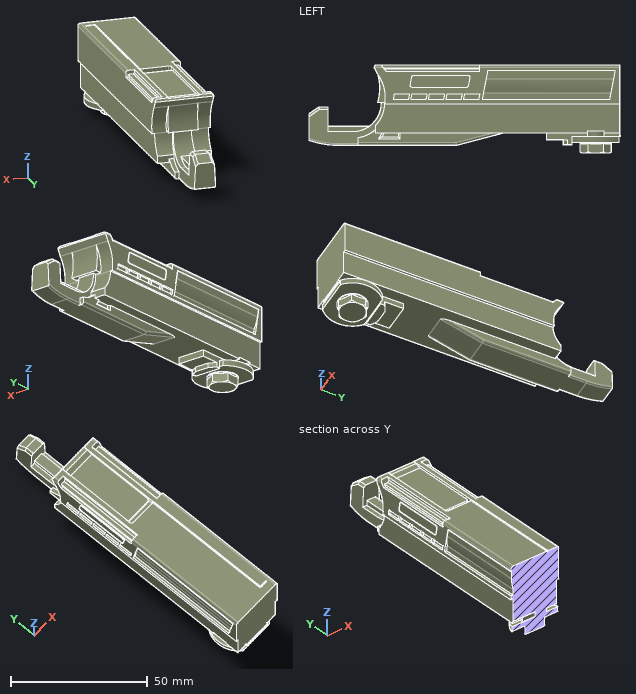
import cadquery as cq
import math

WIDTH = 22.7
LENGTH = 114.5
HEIGHT = 32.5
HALF_WIDTH = WIDTH / 2

BODY_START = 0.25
BODY_BOTTOM = 7.4
BODY_NOSE = 90.0
WAIST_Z = 18.0
LOWER_LEFT = -10.55
LOWER_RIGHT = 10.3
TOP_ROUND = 1.0
HORN_TOP_Y = 90.1
HORN_TIP = (90.6, 31.5)
HORN_ROOT = (89.2, 28.9)
HORN_MIDDLE = (87.1, 24.7)

SEAT_Y = 98.5
SEAT_Z = 18.4
HOOK_SEAT_RADIUS = 10.5
BODY_SEAT_RADIUS = 11.8
KEEL_SEAT_RADIUS = 12.9

HOOK_HALF_WIDTH = 4.25
HOOK_TIP_HALF_WIDTH = 3.5
HOOK_BOTTOM = 2.85
HOOK_FLOOR = SEAT_Z - HOOK_SEAT_RADIUS
HOOK_HEEL_Z = 4.7
HOOK_SOLE_END = 103.8
HOOK_TOP = 17.0
HOOK_SHOULDER_Z = 14.5
HOOK_SHOULDER_Y = 110.9
HOOK_INNER_Y = 107.4
HOOK_ROOT_Y = 80.0
HOOK_SHELF_Z = 18.6
HOOK_EDGE_CHAMFER = 0.9
HOOK_SOLE_ROUND = 0.6
RIB_HALF_WIDTH = 2.0
RIB_TOP = 10.0

KEEL_HALF_WIDTH = 5.75
KEEL_FRONT = 96.5
KEEL_FLAT_END = 60.3
KEEL_END = 43.0
KEEL_ROUND = 1.0
NOTCH_FRONT = 88.9
NOTCH_BACK = 81.0
NOTCH_BOTTOM = 5.3
NOTCH_TOP = 8.2
NOTCH_LEAN = 1.75
NOTCH_WALL_ANGLE = 40
NOTCH_DEPTH = 0.8

INSERT_HALF_WIDTH = 5.75
INSERT_TOP = 32.3
INSERT_NOSE = 89.9
INSERT_BOTTOM_Y = 89.3
INSERT_MIDDLE = (88.6, 25.5)

RECESS_HALF_WIDTH = 6.0
RECESS_START = 56.2
PAD_START = 58.2
PAD_TOP = 31.5
GAP_FLOOR = 30.7
RECESS_CORNER = 0.8
LIP_BACK = 88.6
LIP_SLOPE_END = 86.4

RAIL_WIDTH = 3.4
RAIL_WALL_FOOT = 31.35
RAIL_FLOOR = 30.95
RAIL_LEDGE = 30.05
RAIL_LEDGE_WIDTH = 0.9
LEFT_RAMP_WIDTH = 0.9
RIGHT_RAMP_WIDTH = 0.5
RAIL_FRONT = 88.05
RAIL_SLOPE_RUN = 1.9
LEFT_RAIL_START = 51.8
RIGHT_RAIL_START = 56.2

GROOVE_X = 5.75
GROOVE_WIDTH = 0.35
GROOVE_DEPTH = 0.4
GROOVE_START = 3.6
GROOVE_END_X = 9.2

SLANT = 0.19
DASH_COUNT = 5
DASH_PITCH = 6.45
DASH_LENGTH = 5.6
DASH_BOTTOM = 19.75
DASH_TOP = 21.8
FIRST_DASH_START = 52.1
DASH_DEPTH = 0.8
PANEL_START = 4.0
PANEL_LENGTH = 46.8
PANEL_TOP = 30.4
PANEL_BEND_TOP = 27.2
PANEL_BEND_MIDDLE = 24.9
PANEL_BEND_BOTTOM = 22.2
PANEL_SHALLOW = 0.2
PANEL_BEND_DEPTH = 0.35
PANEL_DEEP = 1.0
PLATE_START = 56.0
PLATE_LENGTH = 21.5
PLATE_BOTTOM = 24.2
PLATE_TOP = 28.6
PLATE_ROUND = 0.8
PLATE_DEPTH = 0.2

TONGUE_HALF_WIDTH = 5.75
TONGUE_END = 27.3
TONGUE_BOTTOM = 4.9
LATCH_START = 17.8
LATCH_END = 21.1
LATCH_BOTTOM = 3.1
LATCH_CORNER_RUN = 1.6
LATCH_CORNER_WIDTH = LATCH_CORNER_RUN * math.tan(math.pi / 3)
WASHER_RADIUS = HALF_WIDTH
WASHER_BOTTOM = 3.85
WASHER_TOP = 6.15
TONGUE_LIP_TOP = 6.45
WASHER_START = 0.5
WASHER_END = LATCH_START
SCREW_Y = (WASHER_START + WASHER_END) / 2
SHANK_DIAMETER = 6.0
SHANK_TOP = 8.1
HEX_SIDES = 6
HEX_FLATS = 10.0
HEX_CORNERS = HEX_FLATS / math.cos(math.pi / HEX_SIDES)
COLLAR_THICKNESS = 0.25
COLLAR_CONE_HEIGHT = 0.25
HEAD_BOTTOM_RADIUS = 5.1
HEAD_BEVEL = 0.5


def box(x0, x1, y0, y1, z0, z1):
    return cq.Workplane("XY").box(x1 - x0, y1 - y0, z1 - z0, centered=False).translate((x0, y0, z0))


def side_sketch(x):
    """Plane across X at the given place, with Y and Z as its axes."""
    return cq.Workplane("YZ", origin=(x, 0, 0))


def seat_point(radius, y=None, z=None):
    """Point on the lower nose-side quarter of the seat circle, given its Y or its Z."""
    if z is None:
        z = SEAT_Z - math.sqrt(radius**2 - (SEAT_Y - y) ** 2)
    else:
        y = SEAT_Y - math.sqrt(radius**2 - (SEAT_Z - z) ** 2)
    return (y, z)


def seat_middle(radius, start, end):
    """Point of the seat circle half way between two others."""
    mid_angle = sum(math.atan2(z - SEAT_Z, SEAT_Y - y) for y, z in (start, end)) / 2
    return (SEAT_Y - radius * math.cos(mid_angle), SEAT_Z + radius * math.sin(mid_angle))


def make_body():
    """Body whose nose follows the tube seat, with a horn on top."""
    waist_nose = seat_point(BODY_SEAT_RADIUS, z=WAIST_Z)
    corner = seat_point(BODY_SEAT_RADIUS, y=BODY_NOSE)
    lower = (
        side_sketch(LOWER_LEFT)
        .moveTo(BODY_START, BODY_BOTTOM)
        .lineTo(BODY_NOSE, BODY_BOTTOM)
        .lineTo(*corner)
        .threePointArc(seat_middle(BODY_SEAT_RADIUS, corner, waist_nose), waist_nose)
        .lineTo(BODY_START, WAIST_Z)
        .close()
        .extrude(LOWER_RIGHT - LOWER_LEFT)
    )
    upper = (
        side_sketch(-HALF_WIDTH)
        .moveTo(BODY_START, WAIST_Z)
        .lineTo(*waist_nose)
        .threePointArc(HORN_MIDDLE, HORN_ROOT)
        .lineTo(*HORN_TIP)
        .lineTo(HORN_TOP_Y, HEIGHT)
        .lineTo(BODY_START, HEIGHT)
        .close()
        .extrude(WIDTH)
        .edges("|Y and >Z")
        .fillet(TOP_ROUND)
    )
    return lower.union(upper)


def make_keel():
    """Wedge under the body that carries the hook, notched on its left flank."""
    front_low = seat_point(KEEL_SEAT_RADIUS, y=KEEL_FRONT)
    front_high = seat_point(KEEL_SEAT_RADIUS, y=BODY_NOSE)
    keel = (
        side_sketch(-KEEL_HALF_WIDTH)
        .moveTo(KEEL_FRONT, HOOK_BOTTOM)
        .lineTo(*front_low)
        .threePointArc(seat_middle(KEEL_SEAT_RADIUS, front_low, front_high), front_high)
        .lineTo(KEEL_END, front_high[1])
        .lineTo(KEEL_END, BODY_BOTTOM)
        .lineTo(KEEL_FLAT_END, HOOK_BOTTOM)
        .close()
        .extrude(2 * KEEL_HALF_WIDTH)
    )
    bottom_area = cq.selectors.BoxSelector((-WIDTH, KEEL_END, 0), (WIDTH, BODY_NOSE, BODY_BOTTOM))
    keel = keel.edges("not |X").edges(bottom_area).fillet(KEEL_ROUND)
    notch = (
        side_sketch(-KEEL_HALF_WIDTH)
        .moveTo(NOTCH_BACK, NOTCH_BOTTOM)
        .lineTo(NOTCH_FRONT, NOTCH_BOTTOM)
        .lineTo(NOTCH_FRONT - NOTCH_LEAN, NOTCH_TOP)
        .lineTo(NOTCH_BACK, NOTCH_TOP)
        .close()
        .extrude(NOTCH_DEPTH, taper=NOTCH_WALL_ANGLE)
    )
    return keel.cut(notch)


def hook_draft():
    """Envelope that narrows the hook from its sole towards its tip."""
    slope = (HOOK_HALF_WIDTH - HOOK_TIP_HALF_WIDTH) / (HOOK_TOP - HOOK_BOTTOM)
    shelf_half_width = HOOK_TIP_HALF_WIDTH - slope * (HOOK_SHELF_Z - HOOK_TOP)
    return (
        cq.Workplane("XZ")
        .moveTo(-HOOK_HALF_WIDTH, HOOK_BOTTOM)
        .lineTo(HOOK_HALF_WIDTH, HOOK_BOTTOM)
        .lineTo(shelf_half_width, HOOK_SHELF_Z)
        .lineTo(-shelf_half_width, HOOK_SHELF_Z)
        .close()
        .extrude(-LENGTH)
    )


def make_hook():
    """Hook with a drafted tip and a rib along its floor."""
    sole_run = LENGTH - HOOK_SOLE_END
    sole_rise = HOOK_HEEL_Z - HOOK_BOTTOM
    sole_radius = (sole_run**2 + sole_rise**2) / (2 * sole_rise)
    sole_half_angle = math.asin(sole_run / sole_radius) / 2
    sole_middle = (
        HOOK_SOLE_END + sole_radius * math.sin(sole_half_angle),
        HOOK_BOTTOM + sole_radius * (1 - math.cos(sole_half_angle)),
    )
    floor_end = (SEAT_Y, HOOK_FLOOR)
    shelf = (SEAT_Y - HOOK_SEAT_RADIUS, SEAT_Z)
    hook = (
        side_sketch(-HOOK_HALF_WIDTH)
        .moveTo(HOOK_ROOT_Y, HOOK_BOTTOM)
        .lineTo(HOOK_SOLE_END, HOOK_BOTTOM)
        .threePointArc(sole_middle, (LENGTH, HOOK_HEEL_Z))
        .lineTo(LENGTH, HOOK_SHOULDER_Z)
        .lineTo(HOOK_SHOULDER_Y, HOOK_TOP)
        .lineTo(HOOK_INNER_Y, HOOK_TOP)
        .lineTo(HOOK_INNER_Y, HOOK_FLOOR)
        .lineTo(*floor_end)
        .threePointArc(seat_middle(HOOK_SEAT_RADIUS, floor_end, shelf), shelf)
        .lineTo(shelf[0], HOOK_SHELF_Z)
        .lineTo(HOOK_ROOT_Y, HOOK_SHELF_Z)
        .close()
        .extrude(2 * HOOK_HALF_WIDTH)
    )
    sole_area = cq.selectors.BoxSelector((-WIDTH, HOOK_ROOT_Y, 0), (WIDTH, HOOK_SHOULDER_Y, HOOK_HEEL_Z))
    hook = hook.intersect(hook_draft())
    hook = hook.edges("not |X").edges(sole_area).fillet(HOOK_SOLE_ROUND)
    tip_area = cq.selectors.BoxSelector((-WIDTH, HOOK_INNER_Y, HOOK_SHOULDER_Z), (WIDTH, LENGTH, HEIGHT))
    hook = hook.edges("not |X").edges(tip_area).chamfer(HOOK_EDGE_CHAMFER)
    rib = box(-RIB_HALF_WIDTH, RIB_HALF_WIDTH, BODY_NOSE, HOOK_INNER_Y, HOOK_FLOOR, RIB_TOP)
    return hook.union(rib)


def make_insert():
    """Block between the horns, above the hook shelf."""
    return (
        side_sketch(-INSERT_HALF_WIDTH)
        .moveTo(HOOK_ROOT_Y, HOOK_SHELF_Z)
        .lineTo(INSERT_BOTTOM_Y, HOOK_SHELF_Z)
        .threePointArc(INSERT_MIDDLE, HORN_ROOT)
        .lineTo(INSERT_NOSE, INSERT_TOP)
        .lineTo(HOOK_ROOT_Y, INSERT_TOP)
        .close()
        .extrude(2 * INSERT_HALF_WIDTH)
    )


def top_recess():
    """Recess in the top, ending in a sloped lip at the nose."""
    gap = box(-RECESS_HALF_WIDTH, RECESS_HALF_WIDTH, RECESS_START, LENGTH, GAP_FLOOR, HEIGHT)
    gap = gap.edges("|Z and <Y").fillet(RECESS_CORNER)
    pad = box(-RECESS_HALF_WIDTH, RECESS_HALF_WIDTH, PAD_START, LIP_SLOPE_END, GAP_FLOOR, PAD_TOP)
    pad = pad.edges("|Z and <Y").fillet(RECESS_CORNER)
    lip = (
        side_sketch(-RECESS_HALF_WIDTH)
        .moveTo(LIP_SLOPE_END, GAP_FLOOR)
        .lineTo(LIP_SLOPE_END, PAD_TOP)
        .lineTo(LIP_BACK, INSERT_TOP)
        .lineTo(LENGTH, INSERT_TOP)
        .lineTo(LENGTH, GAP_FLOOR)
        .close()
        .extrude(2 * RECESS_HALF_WIDTH)
    )
    return gap.cut(pad).cut(lip)


def rail_cut(side, start, ramp_width):
    """Stepped rail along one upper edge; side is -1 for the left edge and 1 for the right."""
    inner = HALF_WIDTH - RAIL_WIDTH
    ledge_x = HALF_WIDTH - RAIL_LEDGE_WIDTH
    section = (
        cq.Workplane("XZ", origin=(0, start, 0))
        .moveTo(inner, HEIGHT)
        .lineTo(inner, RAIL_WALL_FOOT)
        .lineTo(inner + ramp_width, RAIL_FLOOR)
        .lineTo(ledge_x, RAIL_FLOOR)
        .lineTo(ledge_x, RAIL_LEDGE)
        .lineTo(HALF_WIDTH, RAIL_LEDGE)
        .lineTo(HALF_WIDTH, HEIGHT)
        .close()
        .extrude(start - RAIL_FRONT)
    )
    sloped_end = (
        side_sketch(inner)
        .moveTo(start, RAIL_LEDGE)
        .lineTo(RAIL_FRONT - RAIL_SLOPE_RUN, RAIL_LEDGE)
        .lineTo(RAIL_FRONT, HEIGHT)
        .lineTo(start, HEIGHT)
        .close()
        .extrude(RAIL_WIDTH)
    )
    cutter = section.intersect(sloped_end)
    return cutter if side > 0 else cutter.mirror("YZ")


def parting_groove():
    """L-shaped groove from the top recess to near the screw end."""
    floor = HEIGHT - GROOVE_DEPTH
    along = box(GROOVE_X, GROOVE_X + GROOVE_WIDTH, GROOVE_START, RECESS_START, floor, HEIGHT)
    across = box(GROOVE_X, GROOVE_END_X, GROOVE_START, GROOVE_START + GROOVE_WIDTH, floor, HEIGHT)
    return along.union(across)


def slanted_pocket(start, length, bottom, top, depth):
    """Leaning block sunk into the left side; start is its lower end nearest the screw."""
    lean = SLANT * (top - bottom)
    return (
        side_sketch(-HALF_WIDTH)
        .moveTo(start, bottom)
        .lineTo(start + length, bottom)
        .lineTo(start + length - lean, top)
        .lineTo(start - lean, top)
        .close()
        .extrude(depth)
    )


def name_panel():
    """Leaning panel whose floor curves deeper towards its lower edge."""
    outline = slanted_pocket(PANEL_START, PANEL_LENGTH, DASH_BOTTOM, PANEL_TOP, PANEL_DEEP)
    floor = (
        cq.Workplane("XZ")
        .moveTo(-HALF_WIDTH, PANEL_TOP)
        .lineTo(-HALF_WIDTH + PANEL_SHALLOW, PANEL_TOP)
        .lineTo(-HALF_WIDTH + PANEL_SHALLOW, PANEL_BEND_TOP)
        .threePointArc(
            (-HALF_WIDTH + PANEL_BEND_DEPTH, PANEL_BEND_MIDDLE),
            (-HALF_WIDTH + PANEL_DEEP, PANEL_BEND_BOTTOM),
        )
        .lineTo(-HALF_WIDTH + PANEL_DEEP, DASH_BOTTOM)
        .lineTo(-HALF_WIDTH, DASH_BOTTOM)
        .close()
        .extrude(-LENGTH)
    )
    return outline.intersect(floor)


def side_decoration():
    """Name panel, row of dashes and rounded plate sunk into the left side."""
    cutter = name_panel()
    for index in range(DASH_COUNT):
        start = FIRST_DASH_START + index * DASH_PITCH
        cutter = cutter.union(slanted_pocket(start, DASH_LENGTH, DASH_BOTTOM, DASH_TOP, DASH_DEPTH))
    plate = slanted_pocket(PLATE_START, PLATE_LENGTH, PLATE_BOTTOM, PLATE_TOP, PLATE_DEPTH)
    return cutter.union(plate.edges("|X").fillet(PLATE_ROUND))


def make_tongue():
    """Tongue under the body, with a latch whose far corners are cut back."""
    tongue = (
        side_sketch(-TONGUE_HALF_WIDTH)
        .moveTo(BODY_START, BODY_BOTTOM)
        .lineTo(BODY_START, TONGUE_LIP_TOP)
        .lineTo(0, TONGUE_LIP_TOP)
        .lineTo(0, WASHER_TOP)
        .lineTo(LATCH_START, WASHER_TOP)
        .lineTo(LATCH_START, TONGUE_BOTTOM)
        .lineTo(TONGUE_END, TONGUE_BOTTOM)
        .lineTo(TONGUE_END, BODY_BOTTOM)
        .close()
        .extrude(2 * TONGUE_HALF_WIDTH)
    )
    nose_half_width = TONGUE_HALF_WIDTH - LATCH_CORNER_WIDTH
    latch = (
        cq.Workplane("XY", origin=(0, 0, LATCH_BOTTOM))
        .moveTo(-TONGUE_HALF_WIDTH, LATCH_START)
        .lineTo(TONGUE_HALF_WIDTH, LATCH_START)
        .lineTo(TONGUE_HALF_WIDTH, LATCH_END - LATCH_CORNER_RUN)
        .lineTo(nose_half_width, LATCH_END)
        .lineTo(-nose_half_width, LATCH_END)
        .lineTo(-TONGUE_HALF_WIDTH, LATCH_END - LATCH_CORNER_RUN)
        .close()
        .extrude(BODY_BOTTOM - LATCH_BOTTOM)
    )
    return tongue.union(latch)


def screw_slot():
    """Slot open to the left side through which the screw shank slides in."""
    radius = SHANK_DIAMETER / 2
    return box(-HALF_WIDTH, 0, SCREW_Y - radius, SCREW_Y + radius, WASHER_TOP, SHANK_TOP)


def make_washer():
    """Round washer with flats across its two ends."""
    thickness = WASHER_TOP - WASHER_BOTTOM
    disc = cq.Workplane("XY", origin=(0, SCREW_Y, WASHER_BOTTOM)).circle(WASHER_RADIUS).extrude(thickness)
    band = box(-WIDTH, WIDTH, WASHER_START, WASHER_END, WASHER_BOTTOM, WASHER_TOP)
    return disc.intersect(band)


def make_screw():
    """Hexagon screw with a thin collar under the washer."""
    corner_radius = HEX_CORNERS / 2
    hexagon = (
        cq.Workplane("XY", origin=(0, SCREW_Y, 0))
        .transformed(rotate=(0, 0, 90))
        .polygon(HEX_SIDES, HEX_CORNERS)
        .extrude(WASHER_BOTTOM)
    )
    envelope = (
        cq.Workplane("XY", origin=(0, SCREW_Y, 0))
        .circle(corner_radius)
        .extrude(WASHER_BOTTOM)
        .faces("<Z")
        .chamfer(HEAD_BEVEL, corner_radius - HEAD_BOTTOM_RADIUS)
    )
    collar = (
        cq.Workplane("XY", origin=(0, SCREW_Y, WASHER_BOTTOM))
        .circle(corner_radius)
        .extrude(-COLLAR_CONE_HEIGHT - COLLAR_THICKNESS)
        .faces("<Z")
        .chamfer(COLLAR_CONE_HEIGHT, (HEX_CORNERS - HEX_FLATS) / 2)
    )
    shank = (
        cq.Workplane("XY", origin=(0, SCREW_Y, WASHER_BOTTOM))
        .circle(SHANK_DIAMETER / 2)
        .extrude(SHANK_TOP - WASHER_BOTTOM)
    )
    return hexagon.intersect(envelope).union(collar).union(shank)


result = (
    make_body()
    .union(make_keel())
    .union(make_tongue())
    .union(make_insert())
    .cut(top_recess())
    .cut(rail_cut(-1, LEFT_RAIL_START, LEFT_RAMP_WIDTH))
    .cut(rail_cut(1, RIGHT_RAIL_START, RIGHT_RAMP_WIDTH))
    .cut(parting_groove())
    .cut(side_decoration())
    .cut(screw_slot())
    .union(make_hook())
    .union(make_washer())
    .union(make_screw())
)